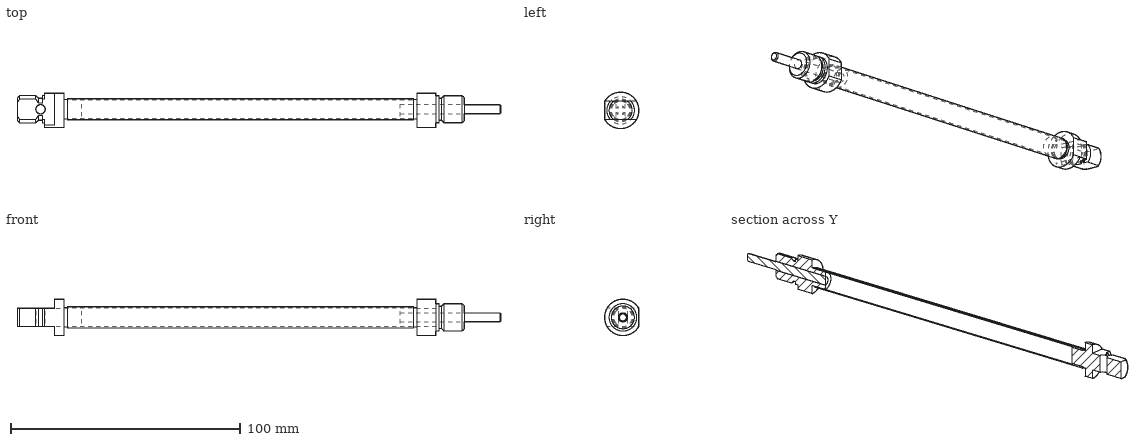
import cadquery as cq


CAP_DIAMETER = 16.0
CAP_FLAT_Y = 7.0
THREAD_DIAMETER = 12.0
THREAD_CHAMFER = 1.0
RELIEF_DIAMETER = 9.8
RELIEF_DEPTH = (THREAD_DIAMETER - RELIEF_DIAMETER) / 2
SHOULDER_DIAMETER = 8.6
SHOULDER_LENGTH = 1.5
SPIGOT_DIAMETER = 8.0
SPIGOT_LENGTH = 6.0

REAR_THREAD_END = 8.0
REAR_RING_START = 10.9
REAR_FLANGE_START = 11.8
REAR_FLANGE_END = 20.4
TANG_END = 16.1
TANG_THICKNESS = 8.0
PIVOT_X = 10.1
PIVOT_DIAMETER = 4.0

FRONT_COLLAR_START = 174.3
FRONT_COLLAR_END = 182.5
FRONT_RING_END = 184.0
FRONT_THREAD_START = 186.1
FRONT_END = 195.0

TUBE_DIAMETER = 9.3
TUBE_START = REAR_FLANGE_END + SHOULDER_LENGTH
TUBE_END = FRONT_COLLAR_START - SHOULDER_LENGTH
ROD_DIAMETER = 4.0
ROD_END = 211.0
ROD_CHAMFER = 0.5
ROD_START = TUBE_END - SPIGOT_LENGTH


def turned(profile):
    """Revolve (x, diameter) corners about the X axis; the outline closes along the axis."""
    outline = [(x, diameter / 2) for x, diameter in profile]
    outline = [(profile[0][0], 0)] + outline + [(profile[-1][0], 0)]
    return cq.Workplane("XZ").polyline(outline).close().revolve(360, (0, 0), (1, 0))


def cap_flat(x_start, x_end):
    """Block that trims a cap to its flat on the +Y side."""
    return (
        cq.Workplane("XY")
        .box(x_end - x_start, CAP_DIAMETER, CAP_DIAMETER, centered=(False, False, True))
        .translate((x_start, CAP_FLAT_Y, 0))
    )


def make_rear_cap():
    body = turned([
        (0, THREAD_DIAMETER - 2 * THREAD_CHAMFER),
        (THREAD_CHAMFER, THREAD_DIAMETER),
        (REAR_THREAD_END, THREAD_DIAMETER),
        (REAR_THREAD_END + RELIEF_DEPTH, RELIEF_DIAMETER),
        (REAR_RING_START, RELIEF_DIAMETER),
        (REAR_RING_START, THREAD_DIAMETER),
        (REAR_FLANGE_START, THREAD_DIAMETER),
        (REAR_FLANGE_START, CAP_DIAMETER),
        (REAR_FLANGE_END, CAP_DIAMETER),
        (REAR_FLANGE_END, SHOULDER_DIAMETER),
        (TUBE_START, SHOULDER_DIAMETER),
        (TUBE_START, SPIGOT_DIAMETER),
        (TUBE_START + SPIGOT_LENGTH, SPIGOT_DIAMETER),
    ])
    body = body.cut(cap_flat(REAR_FLANGE_START, REAR_FLANGE_END))
    for side in (1, -1):
        tang_relief = (
            cq.Workplane("XY")
            .box(TANG_END, 2 * CAP_DIAMETER, CAP_DIAMETER, centered=(False, True, True))
            .translate((0, 0, side * (TANG_THICKNESS + CAP_DIAMETER) / 2))
        )
        body = body.cut(tang_relief)
    pivot = (
        cq.Workplane("XY").center(PIVOT_X, 0).circle(PIVOT_DIAMETER / 2)
        .extrude(CAP_DIAMETER, both=True)
    )
    return body.cut(pivot)


def make_front_cap():
    body = turned([
        (ROD_START, SPIGOT_DIAMETER),
        (TUBE_END, SPIGOT_DIAMETER),
        (TUBE_END, SHOULDER_DIAMETER),
        (FRONT_COLLAR_START, SHOULDER_DIAMETER),
        (FRONT_COLLAR_START, CAP_DIAMETER),
        (FRONT_COLLAR_END, CAP_DIAMETER),
        (FRONT_COLLAR_END, THREAD_DIAMETER),
        (FRONT_RING_END, THREAD_DIAMETER),
        (FRONT_RING_END, RELIEF_DIAMETER),
        (FRONT_THREAD_START - RELIEF_DEPTH, RELIEF_DIAMETER),
        (FRONT_THREAD_START, THREAD_DIAMETER),
        (FRONT_END - THREAD_CHAMFER, THREAD_DIAMETER),
        (FRONT_END, THREAD_DIAMETER - 2 * THREAD_CHAMFER),
    ])
    body = body.cut(cap_flat(FRONT_COLLAR_START, FRONT_COLLAR_END))
    rod_bore = turned([(ROD_START, ROD_DIAMETER), (FRONT_END, ROD_DIAMETER)])
    return body.cut(rod_bore)


def make_tube():
    outside = turned([(TUBE_START, TUBE_DIAMETER), (TUBE_END, TUBE_DIAMETER)])
    bore = turned([(TUBE_START, SPIGOT_DIAMETER), (TUBE_END, SPIGOT_DIAMETER)])
    return outside.cut(bore)


def make_rod():
    return turned([
        (ROD_START, ROD_DIAMETER),
        (ROD_END - ROD_CHAMFER, ROD_DIAMETER),
        (ROD_END, ROD_DIAMETER - 2 * ROD_CHAMFER),
    ])


rear_cap = make_rear_cap()
tube = make_tube()
front_cap = make_front_cap()
rod = make_rod()

result = cq.Compound.makeCompound([rear_cap.val(), tube.val(), front_cap.val(), rod.val()])